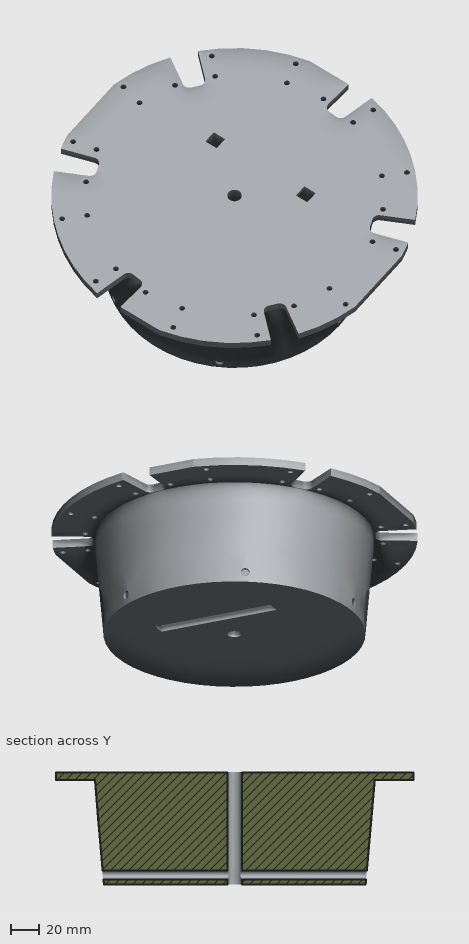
import cadquery as cq
import math

TOTAL_HEIGHT = 80.0
PLATE_WIDTH = 254.0
PLATE_DIAMETER = 260.0
PLATE_THICKNESS = 6.0
PLATE_BOTTOM = TOTAL_HEIGHT - PLATE_THICKNESS

BASE_TOP_DIAMETER = 199.47
BASE_HEIGHT = TOTAL_HEIGHT - PLATE_THICKNESS / 2
BASE_TAPER_ANGLE = 5.0
BASE_BOTTOM_DIAMETER = BASE_TOP_DIAMETER - 2 * BASE_HEIGHT * math.tan(math.radians(BASE_TAPER_ANGLE))

SECTOR_COUNT = 6
SECTOR_ANGLE = 360.0 / SECTOR_COUNT

NOTCH_START_ANGLE = 18.0
NOTCH_END_ANGLE = 27.0
NOTCH_FLOOR_RADIUS = 100.0
NOTCH_CORNER_RADIUS = 5.0

SCREW_HOLE_DIAMETER = 4.1
SCREW_PAIR_HALF_ANGLE = 14.0
OUTER_SCREW_RADIUS = 124.0
INNER_SCREW_RADIUS = 106.0

CENTER_HOLE_DIAMETER = 10.2
WINDOW_SIZE = 10.0
WINDOW_X = 40.0
WINDOW_Y = 31.0

CHANNEL_LENGTH = 2 * WINDOW_X + WINDOW_SIZE

SIDE_HOLE_DIAMETER = 6.0
SIDE_HOLE_HEIGHT = 7.0
SIDE_HOLE_DEPTH = 2.0


def polar(radius, angle):
    """Point at a radius and an angle in degrees around the Z axis."""
    radians = math.radians(angle)
    return (radius * math.cos(radians), radius * math.sin(radians))


def make_plate():
    """Disc with its four outermost sides cut flat."""
    disc = (
        cq.Workplane("XY")
        .workplane(offset=PLATE_BOTTOM)
        .circle(PLATE_DIAMETER / 2)
        .extrude(PLATE_THICKNESS)
    )
    square = cq.Workplane("XY").rect(PLATE_WIDTH, PLATE_WIDTH).extrude(TOTAL_HEIGHT)
    return disc.intersect(square)


def make_notches():
    """Slots that run in from the plate edge to a rounded floor."""
    middle_angle = (NOTCH_START_ANGLE + NOTCH_END_ANGLE) / 2
    notch = (
        cq.Workplane("XY")
        .workplane(offset=PLATE_BOTTOM)
        .moveTo(*polar(PLATE_DIAMETER, NOTCH_START_ANGLE))
        .lineTo(*polar(NOTCH_FLOOR_RADIUS, NOTCH_START_ANGLE))
        .threePointArc(
            polar(NOTCH_FLOOR_RADIUS, middle_angle),
            polar(NOTCH_FLOOR_RADIUS, NOTCH_END_ANGLE),
        )
        .lineTo(*polar(PLATE_DIAMETER, NOTCH_END_ANGLE))
        .close()
        .extrude(PLATE_THICKNESS)
    )
    inner_corners = cq.selectors.BoxSelector(
        (-PLATE_WIDTH / 2, -PLATE_WIDTH / 2, 0),
        (PLATE_WIDTH / 2, PLATE_WIDTH / 2, TOTAL_HEIGHT),
    )
    notch = notch.edges("|Z").edges(inner_corners).fillet(NOTCH_CORNER_RADIUS)
    notches = cq.Workplane("XY")
    for index in range(SECTOR_COUNT):
        notches = notches.add(notch.rotate((0, 0, 0), (0, 0, 1), index * SECTOR_ANGLE))
    return notches.combine()


def make_base(inset=0):
    """Tapered drum, optionally with its radii reduced by an inset."""
    cone = cq.Solid.makeCone(
        BASE_BOTTOM_DIAMETER / 2 - inset,
        BASE_TOP_DIAMETER / 2 - inset,
        BASE_HEIGHT,
    )
    return cq.Workplane(cone)


def make_channel():
    """Slot that joins the two windows from the foot of the base up to its sunken top."""
    return (
        cq.Workplane("XY")
        .center(0, WINDOW_Y)
        .rect(CHANNEL_LENGTH, WINDOW_SIZE)
        .extrude(BASE_HEIGHT)
    )


def make_screw_holes():
    """Vertical holes on two circles: pairs on both, plus single ones between pairs on the inner."""
    points = []
    for index in range(SECTOR_COUNT):
        pair_center = index * SECTOR_ANGLE
        for angle in (pair_center - SCREW_PAIR_HALF_ANGLE, pair_center + SCREW_PAIR_HALF_ANGLE):
            points.append(polar(OUTER_SCREW_RADIUS, angle))
            points.append(polar(INNER_SCREW_RADIUS, angle))
        points.append(polar(INNER_SCREW_RADIUS, pair_center + SECTOR_ANGLE / 2))
    return cq.Workplane("XY").pushPoints(points).circle(SCREW_HOLE_DIAMETER / 2).extrude(TOTAL_HEIGHT)


def make_center_openings():
    """Center hole and the two square windows."""
    hole = cq.Workplane("XY").circle(CENTER_HOLE_DIAMETER / 2).extrude(TOTAL_HEIGHT)
    windows = (
        cq.Workplane("XY")
        .workplane(offset=PLATE_BOTTOM)
        .pushPoints([(-WINDOW_X, WINDOW_Y), (WINDOW_X, WINDOW_Y)])
        .rect(WINDOW_SIZE, WINDOW_SIZE)
        .extrude(PLATE_THICKNESS)
    )
    return hole.union(windows)


def make_side_holes():
    """Radial holes near the foot of the base; the pair along X is one straight bore."""
    holes = (
        cq.Workplane("YZ")
        .center(0, SIDE_HOLE_HEIGHT)
        .circle(SIDE_HOLE_DIAMETER / 2)
        .extrude(PLATE_DIAMETER / 2, both=True)
    )
    blind_floors = make_base(SIDE_HOLE_DEPTH)
    blind_hole = (
        cq.Workplane("YZ")
        .center(0, SIDE_HOLE_HEIGHT)
        .circle(SIDE_HOLE_DIAMETER / 2)
        .extrude(PLATE_DIAMETER / 2)
        .cut(blind_floors)
    )
    for index in range(SECTOR_COUNT):
        holes = holes.union(blind_hole.rotate((0, 0, 0), (0, 0, 1), index * SECTOR_ANGLE))
    return holes


result = (
    make_plate()
    .cut(make_notches())
    .union(make_base())
    .cut(make_channel())
    .cut(make_screw_holes())
    .cut(make_center_openings())
    .cut(make_side_holes())
)